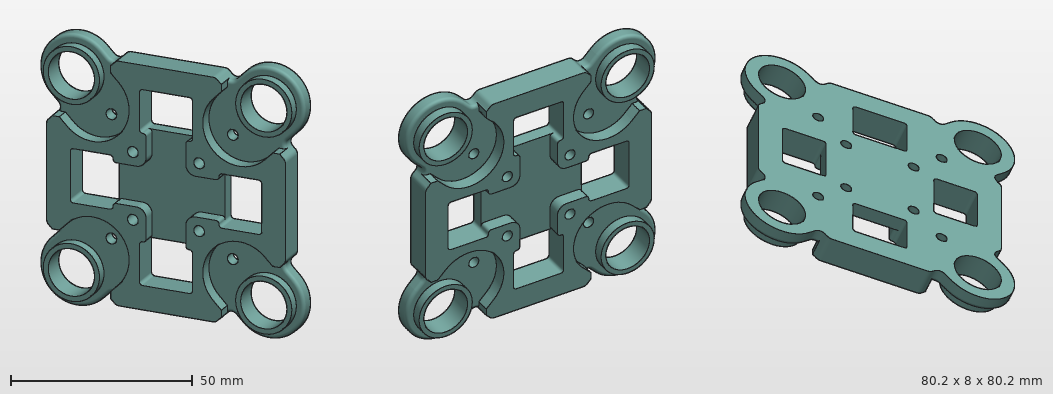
import cadquery as cq
import math

OUTER_HALF = 40.1
PLATE_SIDE = 72.4
THICKNESS = 8.0
OUTER_ROUND = 2.0
NOTCH_ROUND = 2.0

LUG_CENTER = 29.1
LUG_RADIUS = OUTER_HALF - LUG_CENTER
POCKET_CENTER = 22.15
POCKET_BOX_EDGE = 16.8
LUG_THICKNESS = 4.0
LUG_EDGE_ROUND = 1.05

RING_RADIUS = 8.5
BORE_RADIUS = 7.0
RING_HEIGHT = 7.0

WINDOW_WIDTH = 16.05
WINDOW_INNER = 16.05
WINDOW_OUTER = 29.0
WINDOW_ROUND = 1.0

CROSS_WIDTH = 12.0
CROSS_FLOOR = 4.0
CROSS_INNER_ROUND = 3.0
CROSS_MOUTH_ROUND = 1.0

SCREW_RADIUS = 1.6
SCREW_DISTANCES = (10.0, 18.4)

TOLERANCE = 0.01
CORNER_SIGNS = [(1, 1), (-1, 1), (-1, -1), (1, -1)]
QUARTER_TURNS = (0, 90, 180, 270)


def front_plane(height=0.0):
    """Sketch plane facing the front, raised above the back face."""
    return cq.Workplane("XZ", origin=(0, -height, 0))


def at_corners(distance):
    return [(sx * distance, sz * distance) for sx, sz in CORNER_SIGNS]


def mirrored_pairs(near, far):
    """Both orders of a coordinate pair, repeated in all four corners."""
    return [(sx * x, sz * z) for sx, sz in CORNER_SIGNS for x, z in ((near, far), (far, near))]


def stands_at(points):
    """Filter for edges whose center lies on one of the (x, z) points."""

    def matches(edge):
        center = edge.Center()
        return any(math.hypot(center.x - x, center.z - z) < TOLERANCE for x, z in points)

    return matches


def turned(shape, angle):
    return shape.rotate((0, 0, 0), (0, 1, 0), angle)


def diagonal_slot(bottom):
    """Round-ended slot along one diagonal, from the pocket center to the lug center."""
    middle = (LUG_CENTER + POCKET_CENTER) / 2
    length = (LUG_CENTER - POCKET_CENTER) * math.sqrt(2) + 2 * LUG_RADIUS
    return (
        front_plane(bottom)
        .center(middle, middle)
        .slot2D(length, 2 * LUG_RADIUS, 45)
        .extrude(THICKNESS - bottom)
    )


def on_lug_rim(edge):
    """True for edges of the lug face lying outside the 45 degree corner cuts of the plate."""
    center = edge.Center()
    on_lug_face = abs(center.y + LUG_THICKNESS) < TOLERANCE
    return on_lug_face and abs(center.x) + abs(center.z) > PLATE_SIDE / math.sqrt(2)


def make_body():
    plate = front_plane().rect(PLATE_SIDE, PLATE_SIDE).extrude(THICKNESS)
    plate = plate.intersect(turned(plate, 45))
    body = plate.edges("|Y").fillet(OUTER_ROUND)
    for angle in QUARTER_TURNS:
        body = body.union(turned(diagonal_slot(0), angle))

    cut_distance = PLATE_SIDE / 2
    notch_u = (cut_distance - LUG_RADIUS) / math.sqrt(2)
    notch_v = (cut_distance + LUG_RADIUS) / math.sqrt(2)
    notches = mirrored_pairs(notch_u, notch_v)
    return body.edges("|Y").filter(stands_at(notches)).fillet(NOTCH_ROUND)


def cut_pockets(body):
    box_side = OUTER_HALF - POCKET_BOX_EDGE
    box_center = POCKET_BOX_EDGE + box_side / 2
    depth = THICKNESS - LUG_THICKNESS
    corner_plane = front_plane(LUG_THICKNESS).center(box_center, box_center)
    corner_box = corner_plane.rect(box_side, box_side).extrude(depth)
    pocket = diagonal_slot(LUG_THICKNESS).union(corner_box)
    for angle in QUARTER_TURNS:
        body = body.cut(turned(pocket, angle))
    return body.edges().filter(on_lug_rim).fillet(LUG_EDGE_ROUND)


def make_window():
    height = WINDOW_OUTER - WINDOW_INNER
    return (
        front_plane()
        .center(0, WINDOW_INNER + height / 2)
        .rect(WINDOW_WIDTH, height)
        .extrude(THICKNESS)
        .edges("|Y")
        .fillet(WINDOW_ROUND)
    )


def make_central_opening():
    """The four through windows joined by the blind cross, with its corners rounded."""
    arm = front_plane(CROSS_FLOOR).rect(CROSS_WIDTH, 2 * WINDOW_INNER).extrude(THICKNESS - CROSS_FLOOR)
    opening = arm.union(turned(arm, 90))
    for angle in QUARTER_TURNS:
        opening = opening.union(turned(make_window(), angle))
    half = CROSS_WIDTH / 2
    inner_corners = at_corners(half)
    mouth_corners = mirrored_pairs(half, WINDOW_INNER)
    opening = opening.edges("|Y").filter(stands_at(inner_corners)).fillet(CROSS_INNER_ROUND)
    return opening.edges("|Y").filter(stands_at(mouth_corners)).fillet(CROSS_MOUTH_ROUND)


def posts(distance, radius, height):
    """Four round posts on the diagonals, rising from the back face."""
    return front_plane().pushPoints(at_corners(distance)).circle(radius).extrude(height)


result = cut_pockets(make_body())
result = result.union(posts(LUG_CENTER, RING_RADIUS, RING_HEIGHT))
result = result.cut(posts(LUG_CENTER, BORE_RADIUS, THICKNESS))
result = result.cut(make_central_opening())
for screw_distance in SCREW_DISTANCES:
    result = result.cut(posts(screw_distance, SCREW_RADIUS, THICKNESS))